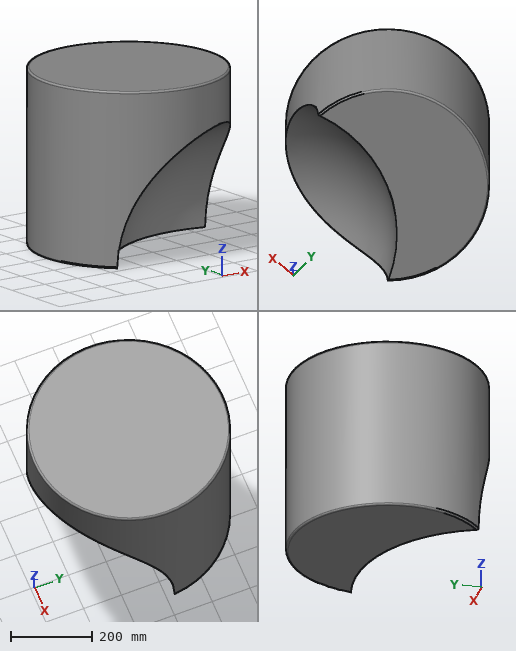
import cadquery as cq

body_diameter = 500
body_height = 450
edge_radius = 5

hollow_radius = 346
hollow_centre = (154, -311, 0)


def make_body():
    """Upright cylinder with both rims rounded."""
    body = cq.Workplane("XY").circle(body_diameter / 2).extrude(body_height)
    return body.faces("<Z or >Z").edges().fillet(edge_radius)


def make_hollow():
    """Sphere that scoops out the lower side of the body."""
    return cq.Workplane("XY").sphere(hollow_radius).translate(hollow_centre)


result = make_body().cut(make_hollow())